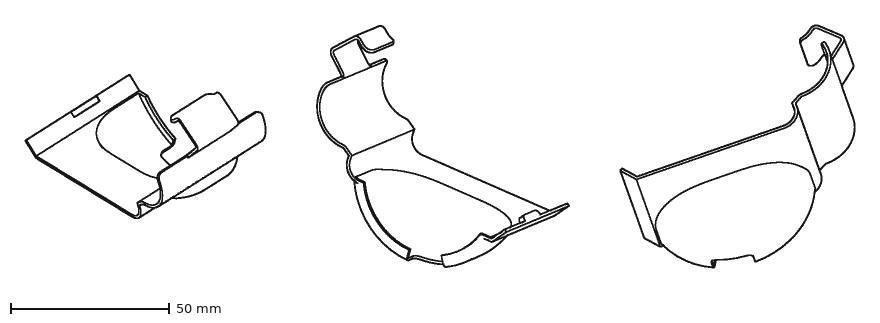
import math

import cadquery as cq


thickness = 1.0
half_thickness = thickness / 2
sheet_width = 42.5
corner_radius = 2.0

lip_start = (-27.45, -12.5)
lip_heading = -36.0
lip_length = 6.2
plate_heading = 16.25
plate_length = 49.2
small_bend_radius = 5.5
small_bend_end = 112.0
neck_length = 1.1
ridge_heading = 50.0
ridge_length = 2.9
ridge_radius = 1.8
ridge_end = 17.0
saddle_radius = 12.3
saddle_end = 126.0

hook_width = 16.7
hook_heading = 59.5
hook_riser = 8.4
hook_radius = 1.4
hook_top = 8.4
hook_tip_heading = 236.0
hook_tip_length = 1.7
hook_curl_radius = 5.0
hook_curl_end = 190.0

tab_from_back = 19.05
tab_width = 10.3
tab_thickness = 2.0
tab_height = 1.9
tab_corner_radius = 1.8

bowl_radius = 27.5
bowl_depth = 27.6
bowl_round = 17.2
bowl_back_round = 2.0
cavity_radius = bowl_radius - thickness
cavity_depth = bowl_depth - thickness
cavity_round = 15.2
rim_opening_radius = 23.4

slot_start = -11.2
slot_end = 17.3
slot_depth = 6.5
slot_corner_radius = 2.0

kink_overlap = half_thickness * math.tan(math.radians(saddle_end - hook_heading) / 2)

BODY_PATH = [
    ("line", lip_length),
    ("turn", plate_heading),
    ("line", plate_length),
    ("arc", small_bend_radius, small_bend_end),
    ("line", neck_length),
    ("turn", ridge_heading),
    ("line", ridge_length),
    ("arc", ridge_radius, ridge_end),
    ("arc", saddle_radius, saddle_end),
    ("line", kink_overlap),
]
HOOK_PATH = [
    ("line", hook_riser),
    ("arc", hook_radius, hook_heading + 90),
    ("line", hook_top),
    ("arc", hook_radius, hook_tip_heading),
    ("line", hook_tip_length),
    ("arc", hook_curl_radius, hook_curl_end),
]


def step(point, heading, distance):
    """Point reached from `point` along `heading` (degrees)."""
    angle = math.radians(heading)
    return (point[0] + distance * math.cos(angle), point[1] + distance * math.sin(angle))


def walk(path, point, heading):
    """Follow a path from a point and heading; return its pieces and the final point.

    Each piece is (start, middle or None, end, start heading, middle heading, end heading).
    """
    pieces = []
    for kind, *values in path:
        if kind == "turn":
            heading = values[0]
            continue
        if kind == "line":
            end = step(point, heading, values[0])
            pieces.append((point, None, end, heading, heading, heading))
        else:
            radius, end_heading = values
            side = 90 if end_heading > heading else -90
            middle_heading = (heading + end_heading) / 2
            centre = step(point, heading + side, radius)
            middle = step(centre, middle_heading - side, radius)
            end = step(centre, end_heading - side, radius)
            pieces.append((point, middle, end, heading, middle_heading, end_heading))
            heading = end_heading
        point = end
    return pieces, point


def offset_joint(point, heading_in, heading_out, offset):
    """Point of the offset curve at a joint; sharp turns are mitred."""
    half_turn = math.radians(heading_out - heading_in) / 2
    mean_heading = (heading_in + heading_out) / 2
    return step(point, mean_heading + 90, offset / math.cos(half_turn))


def side_points(pieces, offset):
    """Offset one side of the path: list of (start, middle or None, end)."""
    joints = [offset_joint(pieces[0][0], pieces[0][3], pieces[0][3], offset)]
    for index, piece in enumerate(pieces):
        following = pieces[index + 1][3] if index + 1 < len(pieces) else piece[5]
        joints.append(offset_joint(piece[2], piece[5], following, offset))
    sides = []
    for index, piece in enumerate(pieces):
        middle = step(piece[1], piece[4] + 90, offset) if piece[1] else None
        sides.append((joints[index], middle, joints[index + 1]))
    return sides


def draw_piece(sketch, middle, end):
    """Extend the outline by one straight or round piece."""
    if middle:
        return sketch.threePointArc(middle, end)
    return sketch.lineTo(*end)


def bent_sheet(path, start, heading, width):
    """Sheet following the path, centred across the sheet width, end corners rounded."""
    pieces, tip = walk(path, start, heading)
    left = side_points(pieces, half_thickness)
    right = side_points(pieces, -half_thickness)
    margin = (sheet_width - width) / 2
    sketch = cq.Workplane("XZ", origin=(0, -margin, 0)).moveTo(*left[0][0])
    for _, middle, end in left:
        sketch = draw_piece(sketch, middle, end)
    sketch = sketch.lineTo(*right[-1][2])
    for piece_start, middle, _ in reversed(right):
        sketch = draw_piece(sketch, middle, piece_start)
    sheet = sketch.close().extrude(width)
    for y in (-margin, -margin - width):
        end_corner = cq.selectors.NearestToPointSelector((tip[0], y, tip[1]))
        sheet = sheet.edges(end_corner).fillet(corner_radius)
    return sheet


def strip_plane(point, heading, y):
    """Plane across the sheet: local x runs along +Y, local y along the heading."""
    angle = math.radians(heading)
    normal = (math.sin(angle), 0, -math.cos(angle))
    return cq.Plane(origin=(point[0], y, point[1]), xDir=(0, 1, 0), normal=normal)


def hook_root():
    """Start of the hook centreline, level with the outer corner of the kink."""
    _, body_tip = walk(BODY_PATH, lip_start, lip_heading)
    kink = step(body_tip, saddle_end, -kink_overlap)
    return step(kink, hook_heading, -kink_overlap)


def hook_root_fillets():
    """Concave fillets where the narrow hook leaves the wide sheet."""
    plane = strip_plane(hook_root(), hook_heading, -sheet_width / 2)
    inner = hook_width / 2
    outer = inner + corner_radius
    arc_inset = corner_radius * (1 - math.sqrt(0.5))
    fillet = (
        cq.Workplane(plane)
        .moveTo(inner, 0)
        .lineTo(outer, 0)
        .threePointArc((inner + arc_inset, arc_inset), (inner, corner_radius))
        .close()
        .extrude(half_thickness, both=True)
    )
    middle = (0, -sheet_width / 2, 0)
    return fillet.union(fillet.mirror("XZ", middle))


def latch_tab():
    """Round-shouldered tab standing on the free edge of the lip."""
    plane = strip_plane(lip_start, lip_heading + 90, -tab_from_back)
    half_width = tab_width / 2
    top = half_thickness + tab_height
    shoulder = top - tab_corner_radius
    flat = half_width - tab_corner_radius
    arc_reach = tab_corner_radius * math.sqrt(0.5)
    return (
        cq.Workplane(plane)
        .moveTo(-half_width, 0)
        .lineTo(-half_width, shoulder)
        .threePointArc((-flat - arc_reach, shoulder + arc_reach), (-flat, top))
        .lineTo(flat, top)
        .threePointArc((flat + arc_reach, shoulder + arc_reach), (half_width, shoulder))
        .lineTo(half_width, 0)
        .close()
        .extrude(tab_thickness)
    )


def drum(radius, back, front, front_round):
    """Cylinder along the bowl axis between two distances from the back, front end rounded."""
    body = cq.Workplane("XZ", origin=(0, -back, 0)).circle(radius).extrude(front - back)
    return body.faces("<Y").edges().fillet(front_round)


def above_plate():
    """Large block filling the space above the upper surface of the plate."""
    crease = step(lip_start, lip_heading, lip_length)
    surface = step(crease, plate_heading + 90, half_thickness)
    size = 4 * bowl_radius
    return (
        cq.Workplane("XZ", origin=(surface[0], size / 2, surface[1]))
        .transformed(rotate=(0, 0, plate_heading))
        .rect(2 * size, size, centered=(True, False))
        .extrude(size)
    )


def wire_slot():
    """Sector-shaped cutter around the bowl axis, rounded at its inner corners."""
    inner = rim_opening_radius - thickness
    outer = bowl_radius + thickness
    sector = (
        cq.Workplane("YZ")
        .moveTo(0, -inner)
        .lineTo(0, -outer)
        .lineTo(-slot_depth, -outer)
        .lineTo(-slot_depth, -inner)
        .close()
        .revolve(slot_end - slot_start, (0, 0, 0), (-1, 0, 0))
    )
    sector = sector.rotate((0, 0, 0), (0, -1, 0), slot_start)
    inner_corners = sector.faces("<Y").edges("%LINE")
    return inner_corners.fillet(slot_corner_radius)


def add_bowl(sheet):
    """Fuse the sliced drum under the plate and hollow it out through the plate."""
    bowl = drum(bowl_radius, 0, bowl_depth, bowl_round)
    bowl = bowl.faces(">Y").edges().fillet(bowl_back_round).cut(above_plate())
    cavity = drum(cavity_radius, thickness, cavity_depth, cavity_round)
    rim_opening = cq.Workplane("XZ").circle(rim_opening_radius).extrude(2 * thickness)
    return sheet.union(bowl).cut(cavity).cut(rim_opening).cut(wire_slot())


body = bent_sheet(BODY_PATH, lip_start, lip_heading, sheet_width)
hook = bent_sheet(HOOK_PATH, hook_root(), hook_heading, hook_width)
result = add_bowl(body.union(hook)).union(hook_root_fillets()).union(latch_tab())